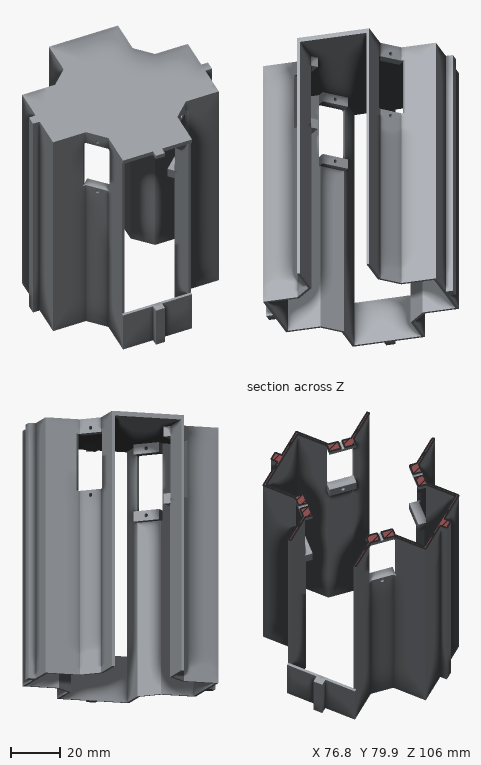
import cadquery as cq
import math

height = 106.0
span = 74.0
arm_width = 30.8
corner_cut = 6.9
wall = 1.2
top_plate = 1.9

length_x = 76.8
length_y = 79.9
rib_width = 4.0

sill_height = 19.1

window_width = 11.7
window_height = 23.6
window_drop = 6.0
pad_thickness = 3.9
pad_height = 4.2
screw_diameter = 1.6

half_span = span / 2
half_arm = arm_width / 2
rear_rib_depth = length_x - span
side_rib_depth = (length_y - span) / 2
window_top = height - window_drop
ceiling = height - top_plate
window_bottom = window_top - window_height
pad_bottom = window_bottom - pad_height
upper_screw_z = (ceiling + window_top) / 2
lower_screw_z = window_bottom - pad_height / 2
face_distance = (2 * half_arm + corner_cut) / math.sqrt(2)
corner_angles = (45, 135, 225, 315)


def box(x_range, y_range, z_range):
    """Box between the given limits along each axis."""
    (x0, x1), (y0, y1), (z0, z1) = x_range, y_range, z_range
    return cq.Workplane("XY").box(x1 - x0, y1 - y0, z1 - z0, centered=False).translate((x0, y0, z0))


def turned(shape, angle):
    """Shape turned about the vertical axis of the tower."""
    return shape.rotate((0, 0, 0), (0, 0, 1), angle)


def plus_outline():
    """Closed outline of the four arms joined by 45 degree faces."""
    shoulder = half_arm + corner_cut
    arm_points = [
        (half_span, -half_arm),
        (half_span, half_arm),
        (shoulder, half_arm),
        (half_arm, shoulder),
    ]
    points = []
    for quarter in range(4):
        for x, y in arm_points:
            points.append((x, y))
        arm_points = [(-y, x) for x, y in arm_points]
    return cq.Workplane("XY").polyline(points).close()


def shell():
    outer = plus_outline().extrude(height)
    cavity = plus_outline().offset2D(-wall, "intersection").extrude(ceiling)
    return outer.cut(cavity)


def rib(depth):
    """Full-height rib on the end of the +X arm."""
    return box(
        (half_span - wall, half_span + depth),
        (-rib_width / 2, rib_width / 2),
        (0, height),
    )


def screw_pad():
    """Thickened block behind a face whose normal is +X, from the ceiling to below the window."""
    return box(
        (face_distance - pad_thickness, face_distance),
        (-window_width / 2, window_width / 2),
        (pad_bottom, height),
    )


def window():
    """Opening through the face and pad, also clipping the neighbouring arm walls."""
    return box(
        (face_distance - 2 * pad_thickness, face_distance + pad_thickness),
        (-window_width / 2, window_width / 2),
        (window_bottom, window_top),
    )


def screw_hole(z):
    """Hole along X through the face and pad."""
    hole = cq.Workplane("YZ").circle(screw_diameter / 2).extrude(2 * pad_thickness)
    return hole.translate((face_distance - 1.5 * pad_thickness, 0, z))


def entrance():
    """Removes the -X end wall between the side walls, from the bottom to the ceiling."""
    inner_half = half_arm - wall
    return box((-half_span, -half_span + wall), (-inner_half, inner_half), (0, ceiling))


def rear_opening():
    """Removes the +X end wall and its rib over the full arm width, above the sill."""
    return box(
        (half_span - wall, half_span + rear_rib_depth),
        (-half_arm, half_arm),
        (sill_height, ceiling),
    )


result = shell()

result = result.union(rib(rear_rib_depth))
for rib_angle in (-90, 90):
    result = result.union(turned(rib(side_rib_depth), rib_angle))

result = result.cut(entrance()).cut(rear_opening())

for angle in corner_angles:
    result = result.union(turned(screw_pad(), angle))
    result = result.cut(turned(window(), angle))
    for screw_z in (upper_screw_z, lower_screw_z):
        result = result.cut(turned(screw_hole(screw_z), angle))